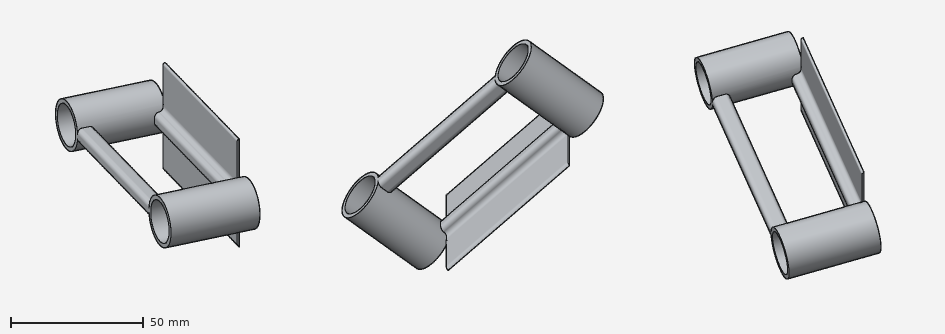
import cadquery as cq
import math

length = 106.6
depth = 37.0
plate_height = 46.2

tube_outer_diameter = 20.5
tube_bore_diameter = 17.0
tube_center_x = (length - tube_outer_diameter) / 2

plate_width = 68.4
plate_thickness = 1.0
plate_top_radius = plate_thickness
plate_bottom_radius = 2.0

bar_height = 6.0
bar_radius = 2.0
front_bar_depth = 7.0
rear_bar_depth = 5.0

front_y = -depth / 2
back_y = depth / 2
plate_front_y = back_y - plate_thickness
half_bar = bar_height / 2


def tube_cylinder(center_x, diameter):
    """Full-depth cylinder along Y."""
    return (
        cq.Workplane("XZ", origin=(center_x, back_y, 0))
        .circle(diameter / 2)
        .extrude(depth)
    )


def block(width, y_min, y_max, height):
    """Box centred on X and Z between two Y positions."""
    return cq.Workplane("XY").box(width, y_max - y_min, height).translate((0, (y_min + y_max) / 2, 0))


def edge_arc(radius):
    """Offsets of a rounded plate edge that starts tangent to the front face and stops at the back face.

    Returns the rise from the tangent line at half the sweep, the matching
    depth behind the front face, and the rise at the back face.
    """
    sweep = math.acos(1 - plate_thickness / radius)
    middle_rise = radius * math.sin(sweep / 2)
    middle_depth = radius * (1 - math.cos(sweep / 2))
    end_rise = radius * math.sin(sweep)
    return middle_rise, middle_depth, end_rise


def make_plate():
    """Thin back plate with its long front edges rounded, the lower one with a larger radius."""
    top_z = plate_height / 2
    top_middle, top_depth, top_rise = edge_arc(plate_top_radius)
    bottom_middle, bottom_depth, bottom_rise = edge_arc(plate_bottom_radius)
    top_tangent_z = top_z - top_rise
    bottom_tangent_z = bottom_rise - top_z
    return (
        cq.Workplane("YZ", origin=(-plate_width / 2, 0, 0))
        .moveTo(plate_front_y, bottom_tangent_z)
        .lineTo(plate_front_y, top_tangent_z)
        .threePointArc((plate_front_y + top_depth, top_tangent_z + top_middle), (back_y, top_z))
        .lineTo(back_y, -top_z)
        .threePointArc(
            (plate_front_y + bottom_depth, bottom_tangent_z - bottom_middle),
            (plate_front_y, bottom_tangent_z),
        )
        .close()
        .extrude(plate_width)
    )


def make_front_bar():
    """Bar with four rounded edges, flush with the front of the tubes."""
    bar = block(2 * tube_center_x, front_y, front_y + front_bar_depth, bar_height)
    return bar.edges("|X").fillet(bar_radius)


def make_rear_bar():
    """Rib on the plate with rounded front edges and concave flares at its root."""
    nose_y = back_y - rear_bar_depth
    rib = block(2 * tube_center_x, nose_y, back_y, bar_height)
    rib = rib.edges("|X and <Y").fillet(bar_radius)
    root_half = half_bar + bar_radius
    flare = block(2 * tube_center_x, plate_front_y - bar_radius, back_y, 2 * root_half)
    for side in (-1, 1):
        hollow = (
            cq.Workplane("YZ", origin=(-tube_center_x, 0, 0))
            .center(plate_front_y - bar_radius, side * root_half)
            .circle(bar_radius)
            .extrude(2 * tube_center_x)
        )
        flare = flare.cut(hollow)
    return rib.union(flare)


result = make_plate().union(make_front_bar()).union(make_rear_bar())
for center_x in (-tube_center_x, tube_center_x):
    result = result.union(tube_cylinder(center_x, tube_outer_diameter))
for center_x in (-tube_center_x, tube_center_x):
    result = result.cut(tube_cylinder(center_x, tube_bore_diameter))